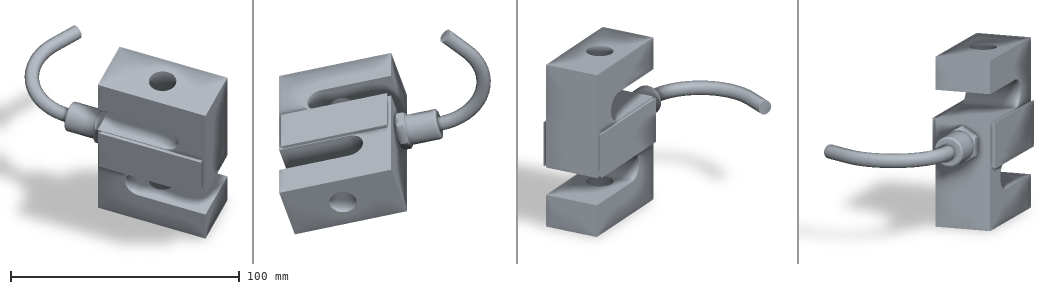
import cadquery as cq
import math

body_length = 50.8
body_depth = 25.4
body_height = 76.2
web_height = 20.6
slot_height = 12.9
slot_reach = 38.0
mount_hole_diameter = 12.0

cover_length = 48.2
sheet_thickness = 0.5
backing_thickness = 1.4
backing_inset = 0.4

nut_across_flats = 14.4
nut_length = 4.5
nut_bevel_length = 0.9
gland_diameter = 13.4
gland_length = 13.9
gland_rim_radius = 1.0

cable_diameter = 6.3
cable_bend_radius = 25.4
cable_lead = 0.7
cable_extra_bend = math.radians(30)
cable_tail = 12.8

body_left = -body_length / 2
nut_left = body_left - nut_length
gland_left = nut_left - gland_length


def make_slot(direction):
    """Round-ended slot, closed toward +X (direction 1, upper) or -X (direction -1, lower)."""
    radius = slot_height / 2
    mid_z = direction * (web_height + slot_height) / 2
    open_x = -direction * body_length / 2
    arc_x = open_x + direction * (slot_reach - radius)
    return (
        cq.Workplane("XZ")
        .moveTo(open_x, mid_z - radius)
        .lineTo(arc_x, mid_z - radius)
        .threePointArc((arc_x + direction * radius, mid_z), (arc_x, mid_z + radius))
        .lineTo(open_x, mid_z + radius)
        .close()
        .extrude(body_depth / 2, both=True)
    )


def make_body():
    body = cq.Workplane("XY").box(body_length, body_depth, body_height)
    holes = cq.Workplane("XY").circle(mount_hole_diameter / 2).extrude(body_height / 2, both=True)
    web = cq.Workplane("XY").box(body_length, body_depth, web_height)
    body = body.cut(holes).union(web)
    for direction in (1, -1):
        body = body.cut(make_slot(direction))
    return body


def make_cover(side):
    """Cover on the +Y (side 1) or -Y (side -1) face of the web."""
    backing_y = side * (body_depth + backing_thickness) / 2
    sheet_y = side * (body_depth / 2 + backing_thickness + sheet_thickness / 2)
    backing = cq.Workplane("XY").box(
        cover_length - 2 * backing_inset, backing_thickness, web_height - 2 * backing_inset
    )
    sheet = cq.Workplane("XY").box(cover_length, sheet_thickness, web_height)
    return backing.translate((0, backing_y, 0)).union(sheet.translate((0, sheet_y, 0)))


def make_nut():
    """Hexagonal nut with corners up and down and conical bevels at both ends."""
    flat_radius = nut_across_flats / 2
    corner_radius = flat_radius / math.cos(math.pi / 6)
    hexagon = (
        cq.Workplane("YZ", origin=(nut_left, 0, 0))
        .transformed(rotate=(0, 0, 90))
        .polygon(6, 2 * corner_radius)
        .extrude(nut_length)
    )
    envelope = (
        cq.Workplane("XY")
        .moveTo(nut_left, 0)
        .lineTo(nut_left, flat_radius)
        .lineTo(nut_left + nut_bevel_length, corner_radius)
        .lineTo(body_left - nut_bevel_length, corner_radius)
        .lineTo(body_left, flat_radius)
        .lineTo(body_left, 0)
        .close()
        .revolve(360, (0, 0, 0), (1, 0, 0))
    )
    return hexagon.intersect(envelope)


def make_gland():
    sleeve = (
        cq.Workplane("YZ", origin=(gland_left, 0, 0))
        .circle(gland_diameter / 2)
        .extrude(gland_length)
        .faces("<X")
        .edges()
        .fillet(gland_rim_radius)
    )
    return sleeve.union(make_nut())


def make_cable():
    bend_x = gland_left - cable_lead
    bend_y = cable_bend_radius

    def bend_point(angle):
        """Point on the bend, with the angle measured from where it leaves the gland."""
        return (
            bend_x - cable_bend_radius * math.sin(angle),
            bend_y - cable_bend_radius * math.cos(angle),
        )

    bend_angle = math.pi / 2 + cable_extra_bend
    tail_x, tail_y = bend_point(bend_angle)
    path = (
        cq.Workplane("XY")
        .moveTo(gland_left, 0)
        .lineTo(bend_x, 0)
        .threePointArc(bend_point(math.pi / 4), bend_point(math.pi / 2))
        .threePointArc(bend_point((math.pi / 2 + bend_angle) / 2), (tail_x, tail_y))
        .lineTo(
            tail_x + cable_tail * math.sin(cable_extra_bend),
            tail_y + cable_tail * math.cos(cable_extra_bend),
        )
    )
    profile = cq.Workplane("YZ", origin=(gland_left, 0, 0)).circle(cable_diameter / 2)
    return profile.sweep(path)


result = make_body().union(make_gland()).union(make_cable())
for side in (1, -1):
    result = result.union(make_cover(side))